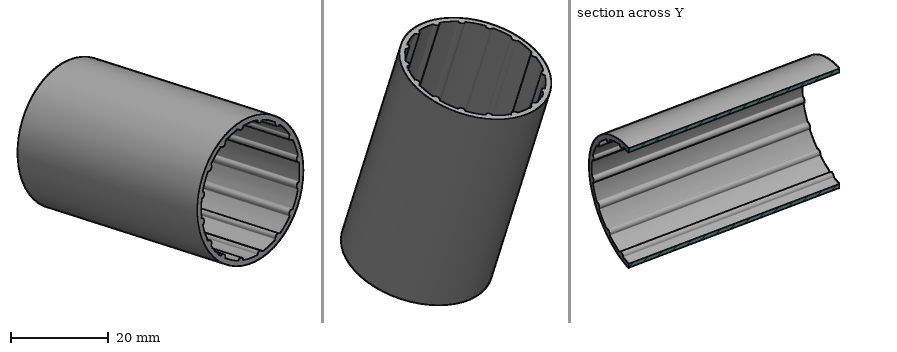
import cadquery as cq

length = 50.0
outer_diameter = 32.0
wall = 1.2
bore_radius = outer_diameter / 2 - wall

rib_count = 16
rib_height = 0.6
rib_radius = 0.8
rib_root_fillet = 0.2
rib_pitch_angle = 360.0 / rib_count
rib_centre_radius = bore_radius - rib_height + rib_radius


def tube_blank():
    """Solid cylinder with the outside size of the sleeve."""
    return cq.Workplane("YZ").circle(outer_diameter / 2).extrude(length)


def rib_rods():
    """Round rods, sunk partly into the wall, whose inner sides form the ribs."""
    return (
        cq.Workplane("YZ")
        .polarArray(rib_centre_radius, 0, 360, rib_count)
        .circle(rib_radius)
        .extrude(length)
    )


def ribbed_bore():
    """Space inside the sleeve: the round bore less the ribs, with filleted rib roots."""
    bore = cq.Workplane("YZ").circle(bore_radius).extrude(length)
    bore = bore.cut(rib_rods())
    bore = bore.edges("|X").fillet(rib_root_fillet)
    return bore.rotate((0, 0, 0), (1, 0, 0), rib_pitch_angle / 2)


result = tube_blank().cut(ribbed_bore())